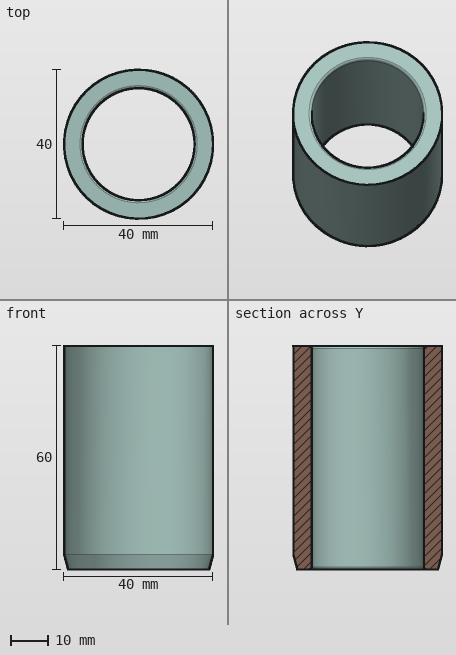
import cadquery as cq
import math

length = 60.0
outer_diameter = 40.0
bore_diameter = 30.0

lead_height = 4.0
lead_angle = 15.0
lead_inset = lead_height * math.tan(math.radians(lead_angle))

mouth_radius = 0.7

outer_radius = outer_diameter / 2
bore_radius = bore_diameter / 2


def make_body():
    """Solid of revolution with a tapered lower end."""
    profile = [
        (0, 0),
        (outer_radius - lead_inset, 0),
        (outer_radius, lead_height),
        (outer_radius, length),
        (0, length),
    ]
    return cq.Workplane("XZ").polyline(profile).close().revolve(360, (0, 0), (0, 1))


def make_bore():
    """Through bore cutter, flared by a quarter round at each mouth."""
    mouth_edge = bore_radius + mouth_radius
    arc_offset = mouth_radius * (1 - math.sqrt(0.5))
    profile = (
        cq.Workplane("XZ")
        .lineTo(mouth_edge, 0)
        .threePointArc((bore_radius + arc_offset, arc_offset), (bore_radius, mouth_radius))
        .lineTo(bore_radius, length - mouth_radius)
        .threePointArc((bore_radius + arc_offset, length - arc_offset), (mouth_edge, length))
        .lineTo(0, length)
        .close()
    )
    return profile.revolve(360, (0, 0), (0, 1))


result = make_body().cut(make_bore())